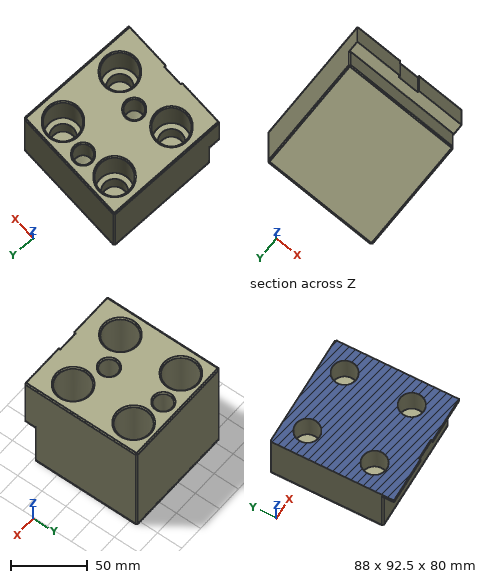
import cadquery as cq
import math

WIDTH = 88.0
LENGTH = 92.5
HEIGHT = 80.0
EDGE_CHAMFER = 1.0

OVERHANG = 8.0
OVERHANG_HEIGHT = 42.0
LOWER_HEIGHT = HEIGHT - OVERHANG_HEIGHT

KEYWAY_WIDTH = 16.0
KEYWAY_DEPTH = 1.2

BOLT_SPACING = 50.0
BOLT_BACK_MARGIN = 17.5
BOLT_HEAD_DIAMETER = 26.0
BOLT_HEAD_DEPTH = 40.0
BOLT_SHANK_DIAMETER = 18.0
BOLT_TOTAL_DEPTH = 60.0

DOWEL_DIAMETER = 14.0
DOWEL_DEPTH = 30.0
DOWEL_SPACING = 45.0
DOWEL_BACK_MARGIN = 12.5
DRILL_POINT_ANGLE = 118.0

HOLE_CHAMFER = 1.0

bolt_points = [
    (side * BOLT_SPACING / 2, LENGTH - BOLT_BACK_MARGIN - row * BOLT_SPACING)
    for side in (-1, 1)
    for row in (0, 1)
]
dowel_points = [(0, LENGTH - DOWEL_BACK_MARGIN - row * DOWEL_SPACING) for row in (0, 1)]


def make_body():
    """Block with an overhang, chamfered except around the overhang's front face."""
    lower = (
        cq.Workplane("XY")
        .box(WIDTH, LENGTH - OVERHANG, LOWER_HEIGHT, centered=(True, False, False))
        .translate((0, OVERHANG, 0))
        .edges("|Z or <Z")
        .chamfer(EDGE_CHAMFER)
    )
    upper = (
        cq.Workplane("XY", origin=(0, 0, LOWER_HEIGHT))
        .box(WIDTH, LENGTH, OVERHANG_HEIGHT, centered=(True, False, False))
        .edges("(>Y and |Z) or (>Z and (not <Y))")
        .chamfer(EDGE_CHAMFER)
    )
    return lower.union(upper)


def make_keyway():
    """Shallow slot over the full height of the overhang's front face."""
    return cq.Workplane("XY", origin=(0, 0, LOWER_HEIGHT)).box(
        KEYWAY_WIDTH, KEYWAY_DEPTH, OVERHANG_HEIGHT, centered=(True, False, False)
    )


def revolve_hole(profile, points):
    """Revolve (radius, height) points, measured from the top face, at every place."""
    hole = cq.Workplane("XZ").polyline(profile).close().revolve(360, (0, 0, 0), (0, 1, 0))
    return cq.Workplane("XY", origin=(0, 0, HEIGHT)).pushPoints(points).eachpoint(hole.val(), True)


def make_bolt_holes():
    head_radius = BOLT_HEAD_DIAMETER / 2
    shank_radius = BOLT_SHANK_DIAMETER / 2
    profile = [
        (0, 0),
        (head_radius + HOLE_CHAMFER, 0),
        (head_radius, -HOLE_CHAMFER),
        (head_radius, -BOLT_HEAD_DEPTH),
        (shank_radius, -BOLT_HEAD_DEPTH),
        (shank_radius, -BOLT_TOTAL_DEPTH),
        (0, -BOLT_TOTAL_DEPTH),
    ]
    return revolve_hole(profile, bolt_points)


def make_dowel_holes():
    radius = DOWEL_DIAMETER / 2
    point_length = radius / math.tan(math.radians(DRILL_POINT_ANGLE / 2))
    profile = [
        (0, 0),
        (radius + HOLE_CHAMFER, 0),
        (radius, -HOLE_CHAMFER),
        (radius, -DOWEL_DEPTH),
        (0, -DOWEL_DEPTH - point_length),
    ]
    return revolve_hole(profile, dowel_points)


result = make_body().cut(make_keyway()).cut(make_bolt_holes()).cut(make_dowel_holes())